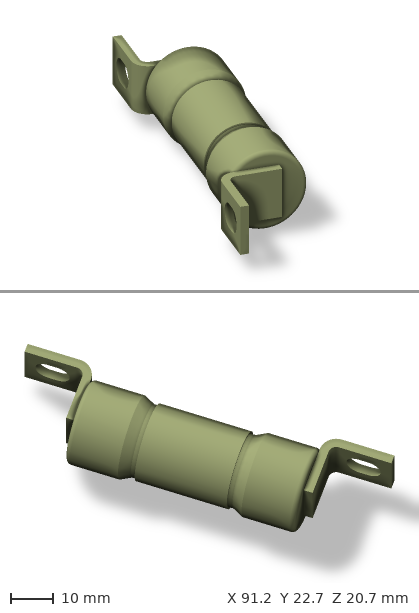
import cadquery as cq


overall_length = 91.2
cap_diameter = 20.7
overall_depth = 22.7

barrel_length = 22.9
barrel_radius = 9.6

cap_outer_face = 28.5
cap_radius = cap_diameter / 2
cap_edge_radius = 1.1
neck_radius = 9.0
neck_width = 1.2
taper_length = 2.7

tag_thickness = 2.2
tag_height = 12.8
tag_inner_bend_radius = 1.9
tag_upright_end = 3.3
slot_length = 8.6
slot_height = 6.4
slot_from_tip = 6.9

half_length = overall_length / 2
barrel_end = barrel_length / 2
neck_end = barrel_end + neck_width
taper_end = neck_end + taper_length
tag_front = cap_radius - overall_depth
tag_back = tag_front + tag_thickness
tag_outer_bend_radius = tag_inner_bend_radius + tag_thickness
upright_outer_face = cap_outer_face + tag_thickness
bend_center_x = cap_outer_face + tag_outer_bend_radius
bend_center_y = tag_front + tag_outer_bend_radius


def make_barrel():
    """Plain cylinder between the two caps."""
    return cq.Workplane("YZ", origin=(-barrel_end, 0, 0)).circle(barrel_radius).extrude(barrel_length)


def make_cap():
    """Cap on the +X end: a narrow neck, a taper and a cylinder with a rounded rim."""
    profile = (
        cq.Workplane("XY")
        .moveTo(barrel_end, 0)
        .lineTo(barrel_end, neck_radius)
        .lineTo(neck_end, neck_radius)
        .lineTo(taper_end, cap_radius)
        .lineTo(cap_outer_face, cap_radius)
        .lineTo(cap_outer_face, 0)
        .close()
    )
    cap = profile.revolve(360, (0, 0, 0), (1, 0, 0))
    return cap.faces(">X").edges().fillet(cap_edge_radius)


def make_tag():
    """Tag on the +X end: a strip bent from the cap face outwards, with a slotted foot."""
    strip = (
        cq.Workplane("XY", origin=(0, 0, -tag_height / 2))
        .moveTo(cap_outer_face, tag_upright_end)
        .lineTo(cap_outer_face, bend_center_y)
        .radiusArc((bend_center_x, tag_front), -tag_outer_bend_radius)
        .lineTo(half_length, tag_front)
        .lineTo(half_length, tag_back)
        .lineTo(bend_center_x, tag_back)
        .radiusArc((upright_outer_face, bend_center_y), tag_inner_bend_radius)
        .lineTo(upright_outer_face, tag_upright_end)
        .close()
        .extrude(tag_height)
    )
    slot = (
        cq.Workplane("XZ", origin=(half_length - slot_from_tip, tag_back, 0))
        .slot2D(slot_length, slot_height)
        .extrude(tag_thickness)
    )
    return strip.cut(slot)


barrel = make_barrel()
caps = []
tags = []
for on_left_end in (False, True):
    cap = make_cap()
    tag = make_tag()
    if on_left_end:
        cap = cap.mirror("YZ")
        tag = tag.mirror("YZ")
    caps.append(cap.val())
    tags.append(tag.val())

result = cq.Compound.makeCompound([barrel.val(), *caps, *tags])